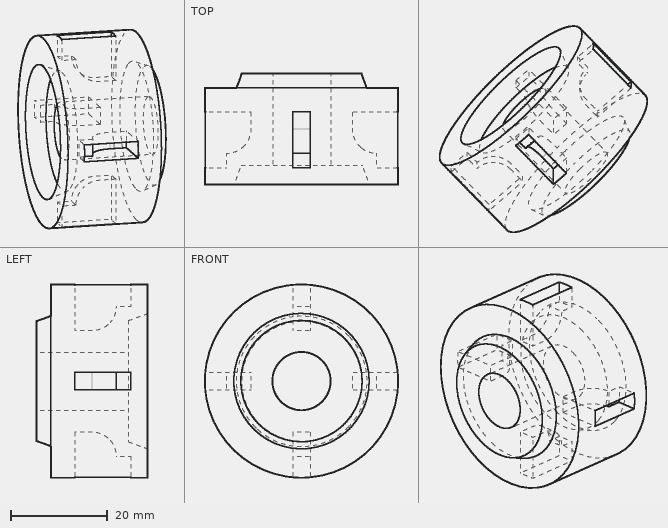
import cadquery as cq
import math

body_diameter = 40
body_length = 20
bore_diameter = 12
taper_angle = 20

boss_base_diameter = 27.0
boss_height = 3.0
recess_mouth_diameter = 28
recess_depth = 4

pocket_count = 4
pocket_width = 3.6
pocket_front = 3.5
pocket_length = 11.5
ledge_length = 3.0
ramp_radius = 5.0
floor_diameter = 21.0

body_radius = body_diameter / 2
overall_length = body_length + boss_height
taper_slope = math.tan(math.radians(taper_angle))


def make_turned_body():
    """Revolve the half section about Y: body, back boss, front recess and bore."""
    bore_radius = bore_diameter / 2
    boss_base_radius = boss_base_diameter / 2
    boss_end_radius = boss_base_radius - boss_height * taper_slope
    recess_mouth_radius = recess_mouth_diameter / 2
    recess_floor_radius = recess_mouth_radius - recess_depth * taper_slope
    half_section = [
        (bore_radius, recess_depth),
        (recess_floor_radius, recess_depth),
        (recess_mouth_radius, 0),
        (body_radius, 0),
        (body_radius, body_length),
        (boss_base_radius, body_length),
        (boss_end_radius, overall_length),
        (bore_radius, overall_length),
    ]
    return cq.Workplane("XY").polyline(half_section).close().revolve(360, (0, 0, 0), (0, 1, 0))


def make_pocket_cutter():
    """Pocket on the +Z side: ledge, quarter-round ramp down, then a flat floor."""
    floor_height = floor_diameter / 2
    ledge_height = floor_height + ramp_radius
    ramp_front = pocket_front + ledge_length
    ramp_back = ramp_front + ramp_radius
    pocket_back = pocket_front + pocket_length
    ramp_drop = ramp_radius * math.sqrt(0.5)
    ramp_middle = (ramp_back - ramp_drop, ledge_height - ramp_drop)
    return (
        cq.Workplane("YZ")
        .moveTo(pocket_front, body_radius)
        .lineTo(pocket_front, ledge_height)
        .lineTo(ramp_front, ledge_height)
        .threePointArc(ramp_middle, (ramp_back, floor_height))
        .lineTo(pocket_back, floor_height)
        .lineTo(pocket_back, body_radius)
        .close()
        .extrude(pocket_width / 2, both=True)
    )


result = make_turned_body()
pocket_cutter = make_pocket_cutter()
for index in range(pocket_count):
    angle = index * 360 / pocket_count
    result = result.cut(pocket_cutter.rotate((0, 0, 0), (0, 1, 0), angle))